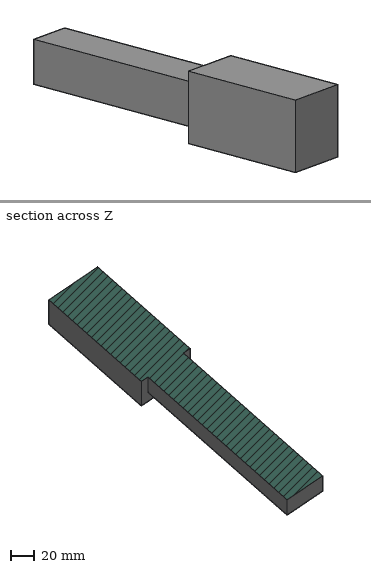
import cadquery as cq

total_length = 300.0
head_length = 120.0
head_width = 55.5
head_height = 65.0
shank_side = 40.5

shank_length = total_length - head_length


def bar(start_x, length, width, height):
    """Rectangular bar centred on the X axis, running toward +X from start_x."""
    return cq.Workplane("YZ", origin=(start_x, 0, 0)).rect(width, height).extrude(length)


shank = bar(0, shank_length, shank_side, shank_side)
head = bar(shank_length, head_length, head_width, head_height)

result = shank.union(head)